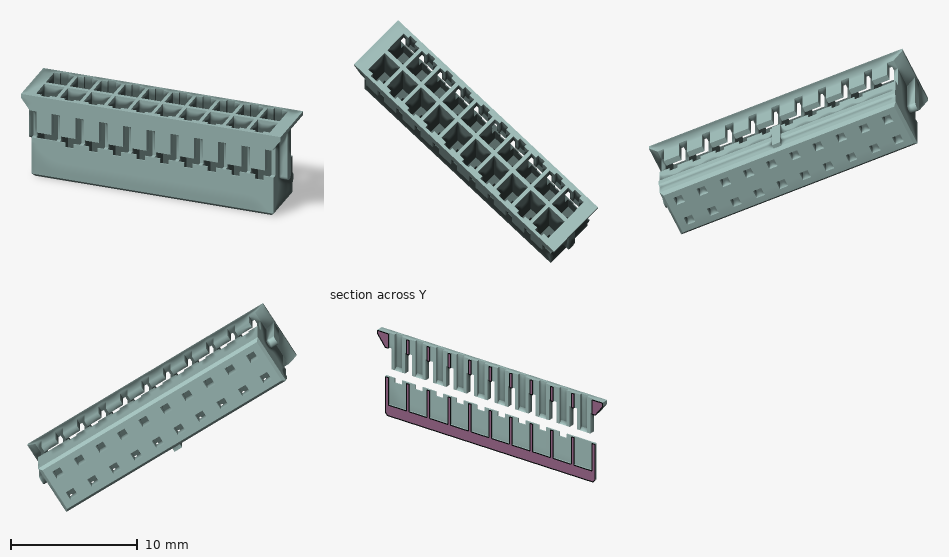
import cadquery as cq

contacts_per_row = 10
row_length = 18.0
contact_pitch = row_length / (contacts_per_row - 1)
row_offset = contact_pitch / 2

flange_length = 21.9
flange_width = 5.0
height = 7.3
flange_rim_bottom = 6.96
flange_bottom = 5.98

body_length = 20.4
body_width = 4.2
ledge_height = 3.44
core_width = 3.37
chamfer_height = 0.26
chamfer_inset = 0.25

skirt_bottom = 4.15
skirt_thickness = 0.48
skirt_inner_y = flange_width / 2 - skirt_thickness
skirt_slot_width = 0.7

cell_length = 1.7
middle_wall = 0.33
cell_floor = 1.0
pin_hole_size = 0.7

groove_width = 0.7
groove_depth = 0.25
notch_depth = 0.4

end_rib_width = 0.75
end_rib_y = -0.45
end_rib_bottom = 2.63
end_rib_reach = 10.9

latch_low, latch_high = 1.05, 2.01
latch_slope_height = 0.22
latch_depth = 0.18

key_width = 0.7
key_reach_y = 2.43

contact_xs = [(i - (contacts_per_row - 1) / 2) * contact_pitch for i in range(contacts_per_row)]
slot_xs = [(i - contacts_per_row / 2) * contact_pitch for i in range(contacts_per_row + 1)]


def block(x_range, y_range, z_range):
    """Box spanning the given (low, high) ranges."""
    x, y, z = x_range[0], y_range[0], z_range[0]
    size = (x_range[1] - x, y_range[1] - y, z_range[1] - z)
    return cq.Workplane("XY").box(*size, centered=False).translate((x, y, z))


def around(center, width):
    """Range of the given width about a centre."""
    return (center - width / 2, center + width / 2)


def make_body():
    """Lower block with chamfered base and the narrower core above its ledge."""
    base = (
        cq.Workplane("XY")
        .rect(body_length - 2 * chamfer_inset, body_width - 2 * chamfer_inset)
        .workplane(offset=chamfer_height)
        .rect(body_length, body_width)
        .loft(ruled=True)
    )
    lower = block(around(0, body_length), around(0, body_width), (chamfer_height, ledge_height))
    core = block(around(0, body_length), around(0, core_width), (ledge_height, flange_bottom))
    return base.union(lower).union(core)


def make_flange():
    """Top flange whose two ends slope in to the length of the body."""
    return (
        cq.Workplane("XZ", origin=(0, flange_width / 2, 0))
        .moveTo(-flange_length / 2, height)
        .lineTo(flange_length / 2, height)
        .lineTo(flange_length / 2, flange_rim_bottom)
        .lineTo(body_length / 2, flange_bottom)
        .lineTo(-body_length / 2, flange_bottom)
        .lineTo(-flange_length / 2, flange_rim_bottom)
        .close()
        .extrude(flange_width)
    )


def make_end_ribs():
    """Round-bottomed ribs on both ends, running up into the flange."""
    radius = end_rib_width / 2
    return (
        cq.Workplane("YZ", origin=(-end_rib_reach, end_rib_y, 0))
        .moveTo(-radius, flange_rim_bottom)
        .lineTo(-radius, end_rib_bottom + radius)
        .threePointArc((0, end_rib_bottom), (radius, end_rib_bottom + radius))
        .lineTo(radius, flange_rim_bottom)
        .close()
        .extrude(2 * end_rib_reach)
    )


def make_skirt():
    """Front skirt, slotted between the contacts."""
    wall_y = (-flange_width / 2, -skirt_inner_y)
    wall_z = (skirt_bottom, flange_bottom)
    skirt = block(around(0, body_length), wall_y, wall_z)
    for x in slot_xs:
        skirt = skirt.cut(block(around(x, skirt_slot_width), wall_y, wall_z))
    return skirt


def make_latch():
    """Trapezoidal locking ridge along the back of the body."""
    face_y = body_width / 2
    return (
        cq.Workplane("YZ", origin=(-body_length / 2, 0, 0))
        .moveTo(0, latch_low)
        .lineTo(face_y, latch_low)
        .lineTo(face_y + latch_depth, latch_low + latch_slope_height)
        .lineTo(face_y + latch_depth, latch_high - latch_slope_height)
        .lineTo(face_y, latch_high)
        .lineTo(0, latch_high)
        .close()
        .extrude(body_length)
    )


def make_key():
    """Upright key in the middle of the back of the body."""
    return block(around(0, key_width), (0, key_reach_y), (chamfer_height, ledge_height - notch_depth))


def cell_cutter(x):
    """Contact cell of the front row with its pin hole and the groove in the skirt."""
    cell = block(around(x, cell_length), (-skirt_inner_y, -middle_wall / 2), (cell_floor, height))
    hole = block(around(x, pin_hole_size), around(-row_offset, pin_hole_size), (0, height))
    groove = (
        cq.Workplane("YZ", origin=(x - groove_width / 2, 0, 0))
        .moveTo(-skirt_inner_y, height)
        .lineTo(-skirt_inner_y, skirt_bottom)
        .lineTo(-skirt_inner_y - groove_depth, skirt_bottom + groove_depth)
        .lineTo(-skirt_inner_y - groove_depth, height)
        .close()
        .extrude(groove_width)
    )
    return cell.union(hole).union(groove)


def notch_cutter(x):
    """Notch in the thin front lip of the body, beside a contact cell."""
    lip_y = (-body_width / 2, -skirt_inner_y)
    return block(around(x, groove_width), lip_y, (ledge_height - notch_depth, ledge_height))


def both_rows(shape):
    """Front-row shape together with its mirror image in the back row."""
    return shape.union(shape.mirror("XZ"))


result = make_body().union(make_latch()).union(make_key())
result = result.union(make_end_ribs()).union(make_flange()).union(both_rows(make_skirt())).clean()
for contact_x in contact_xs:
    result = result.cut(both_rows(cell_cutter(contact_x)))
for contact_x in contact_xs[1:]:
    result = result.cut(both_rows(notch_cutter(contact_x)))